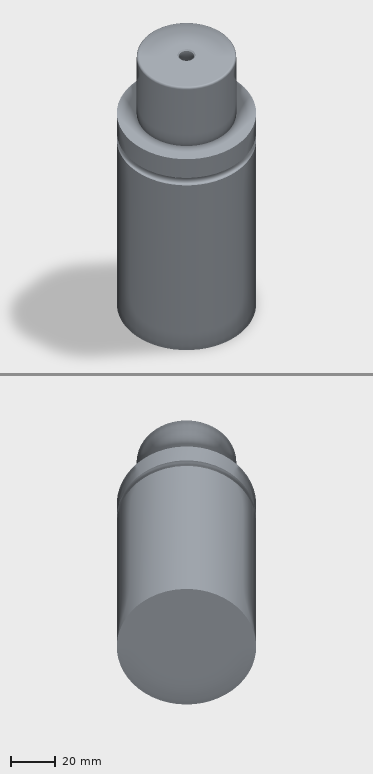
import cadquery as cq
import math

total_height = 150.0
body_diameter = 63.0
spigot_diameter = 45.0
spigot_height = 35.0
spigot_edge_radius = 1.0

collar_height = 11.25
groove_width = 4.5
groove_depth = 2.75

hole_mouth_diameter = 8.0
hole_diameter = 6.8
hole_depth = 20.0
drill_point_angle = 118.0

shoulder_z = total_height - spigot_height
groove_top_z = shoulder_z - collar_height


def make_body():
    """Main cylinder with the smaller spigot, its end edge rounded, on top."""
    body = cq.Workplane("XY").circle(body_diameter / 2).extrude(shoulder_z)
    spigot = (
        cq.Workplane("XY", origin=(0, 0, shoulder_z))
        .circle(spigot_diameter / 2)
        .extrude(spigot_height)
        .faces(">Z")
        .fillet(spigot_edge_radius)
    )
    return body.union(spigot)


def make_groove():
    """Ring with flat sides and a half-round floor."""
    outer_radius = body_diameter / 2
    arc_radius = groove_width / 2
    floor_radius = outer_radius - groove_depth
    arc_center_radius = floor_radius + arc_radius
    groove_bottom_z = groove_top_z - groove_width
    return (
        cq.Workplane("XZ")
        .moveTo(outer_radius, groove_top_z)
        .lineTo(arc_center_radius, groove_top_z)
        .threePointArc(
            (floor_radius, groove_top_z - arc_radius),
            (arc_center_radius, groove_bottom_z),
        )
        .lineTo(outer_radius, groove_bottom_z)
        .close()
        .revolve(360, (0, 0, 0), (0, 1, 0))
    )


def make_hole():
    """Blind hole on the axis: 45-degree countersink, bore and conical drill point."""
    mouth_radius = hole_mouth_diameter / 2
    bore_radius = hole_diameter / 2
    countersink_depth = mouth_radius - bore_radius
    point_depth = bore_radius / math.tan(math.radians(drill_point_angle / 2))
    bore_bottom_z = total_height - hole_depth
    return (
        cq.Workplane("XZ")
        .moveTo(0, total_height)
        .lineTo(mouth_radius, total_height)
        .lineTo(bore_radius, total_height - countersink_depth)
        .lineTo(bore_radius, bore_bottom_z)
        .lineTo(0, bore_bottom_z - point_depth)
        .close()
        .revolve(360, (0, 0, 0), (0, 1, 0))
    )


result = make_body().cut(make_groove()).cut(make_hole())